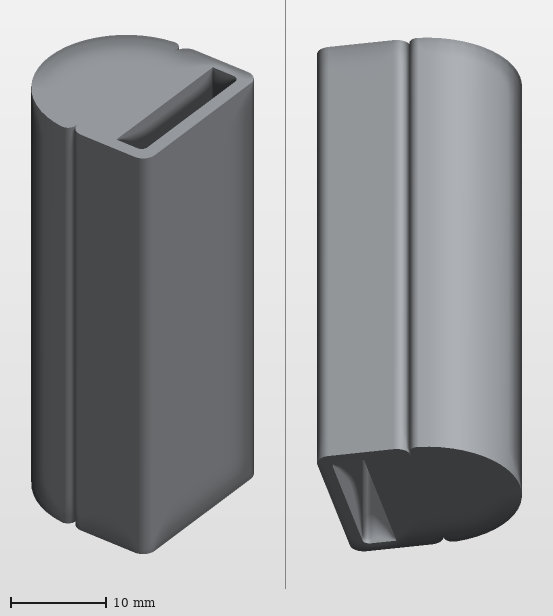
import cadquery as cq
import math

length = 50.0
width = 20.0

channel_depth = 10.0
wall = 1.5
outer_corner_radius = 1.5
inner_corner_radius = 0.75
slot_width = 8.0

dome_radius = width / 2
dome_edge_radius = 1.0
insert_reach = 5.0

cavity_depth = channel_depth - 2 * wall
cavity_width = width - 2 * wall


def block(x_start, x_size, y_size):
    """Full-length block centred on Y, starting at x_start."""
    base = cq.Workplane("XY").box(x_size, y_size, length, centered=(False, True, False))
    return base.translate((x_start, 0, 0))


def make_cavity():
    """Rounded space inside the channel."""
    return block(wall, cavity_depth, cavity_width).edges("|Z").fillet(inner_corner_radius)


def make_channel():
    """Rounded box section with a slot along its -X wall."""
    outer = block(0, channel_depth, width).edges("|Z").fillet(outer_corner_radius)
    slot = block(0, wall, slot_width)
    return outer.cut(make_cavity()).cut(slot)


def make_dome():
    """Half-round bar whose flat face lies on X = 0, with its two long edges rounded."""
    edge_centre_x = -dome_edge_radius
    centre_distance = dome_radius - dome_edge_radius
    edge_centre_y = math.sqrt(centre_distance**2 - edge_centre_x**2)
    tangent_x = edge_centre_x * dome_radius / centre_distance
    tangent_y = edge_centre_y * dome_radius / centre_distance
    return (
        cq.Workplane("XY")
        .moveTo(0, -edge_centre_y)
        .lineTo(0, edge_centre_y)
        .tangentArcPoint((tangent_x, tangent_y), relative=False)
        .threePointArc((-dome_radius, 0), (tangent_x, -tangent_y))
        .tangentArcPoint((0, -edge_centre_y), relative=False)
        .close()
        .extrude(length)
    )


def make_insert():
    """Dome, neck through the slot and flange held behind the channel lips, as one body."""
    neck = block(0, insert_reach, slot_width)
    flange = make_cavity().intersect(block(wall, insert_reach - wall, cavity_width))
    return make_dome().union(neck).union(flange)


channel = make_channel()
insert = make_insert()

result = cq.Compound.makeCompound([channel.val(), insert.val()])